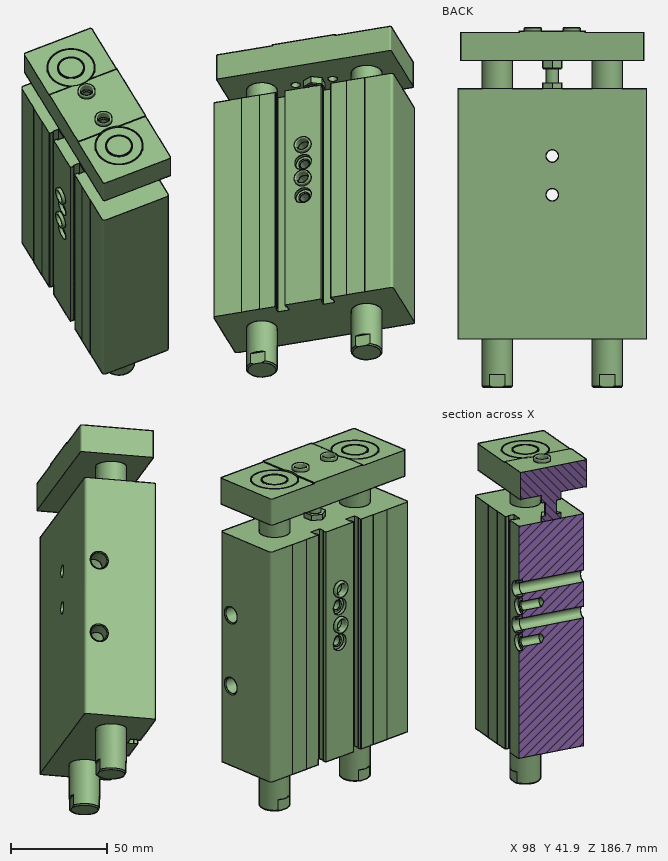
import cadquery as cq
import math


HOUSING_WIDTH = 98.0
HOUSING_DEPTH = 38.0
HOUSING_HEIGHT = 130.0
HOUSING_BOTTOM = 25.0
HOUSING_TOP = HOUSING_BOTTOM + HOUSING_HEIGHT
HOUSING_EDGE_RADIUS = 1.5
HOUSING_FRONT = -HOUSING_DEPTH / 2
HOUSING_LEFT = -HOUSING_WIDTH / 2

SLOT_INNER_X = 9.9
SLOT_WIDTH = 5.0
SLOT_DEPTH = 5.5
SLOT_CHAMFER = 0.4
SLOT_LIP_THICKNESS = 2.2
SLOT_UNDERCUT = 0.5
RIB_INNER_X = 23.7
RIB_WIDTH = 9.9
RIB_HEIGHT = 0.1

PORT_DIAMETER = 8.5
PORT_MOUTH_DIAMETER = 9.7
UPPER_PORT_DEPTH = 11.2
PORT_Y = 11.4
UPPER_PORT_Z = 110.0
LOWER_PORT_Z = 70.0
BEARING_WALL_DIAMETER = 27.6
DRILL_POINT_ANGLE = 118

SLEEVE_DIAMETER = 9.0
SLEEVE_BORE = 6.3
SLEEVE_LENGTH = 4.0
SLEEVE_PROTRUSION = 1.9
SLEEVE_SEAT_DEPTH = SLEEVE_LENGTH - SLEEVE_PROTRUSION
FRONT_HOLE_TOP_Z = 120.0
FRONT_HOLE_PITCH = 10.0
THREAD_BORE = 4.9
THREAD_MOUTH_DIAMETER = 6.0
FRONT_BLIND_DEPTH = 11.2
PLATE_SLEEVE_X = 10.0

PLATE_WIDTH = 95.2
PLATE_BACK = 21.0
PLATE_FRONT = -18.1
PLATE_BOTTOM = 169.5
OVERALL_HEIGHT = 186.7
PAD_TOP = OVERALL_HEIGHT - SLEEVE_PROTRUSION
PAD_HEIGHT = 0.5
PAD_WIDTH = 34.4
PLATE_TOP = PAD_TOP - PAD_HEIGHT
PLATE_EDGE_RADIUS = 1.0

PISTON_ROD_DIAMETER = 6.7
HEX_ACROSS_FLATS = 10.0
NUT_HEIGHT = 4.3
NUT_CHAMFER = 0.5
ROD_HEX_HEIGHT = 3.0

GUIDE_X = 28.5
GUIDE_DIAMETER = 16.0
GUIDE_CHAMFER = 0.7
FLAT_SPACING = 14.0
FLAT_HEIGHT = 6.5
HEAD_DIAMETER = 24.0
HEAD_SEAT_DIAMETER = 25.0
HEAD_THICKNESS = 5.0
TIP_DIAMETER = 14.0
TIP_CHAMFER = 0.5

SIDES = (-1, 1)
SLEEVE_HOLE_Z = [FRONT_HOLE_TOP_Z, FRONT_HOLE_TOP_Z - 2 * FRONT_HOLE_PITCH]
BLIND_HOLE_Z = [z - FRONT_HOLE_PITCH for z in SLEEVE_HOLE_Z]


def cylinder(diameter, length, start, direction):
    """A solid cylinder from a start point along a direction."""
    return cq.Workplane(
        cq.Solid.makeCylinder(diameter / 2, length, cq.Vector(*start), cq.Vector(*direction))
    )


def drilled_hole(diameter, depth, start, direction):
    """A blind hole: a cylinder that ends in a conical drill point."""
    point_length = diameter / 2 / math.tan(math.radians(DRILL_POINT_ANGLE / 2))
    tip_start = cq.Vector(*start) + cq.Vector(*direction) * depth
    tip = cq.Solid.makeCone(diameter / 2, 0, point_length, tip_start, cq.Vector(*direction))
    return cylinder(diameter, depth, start, direction).union(cq.Workplane(tip))


def cone_frustum(base_diameter, end_diameter, start, direction):
    """A 45 degree cone that narrows from its base along a direction."""
    length = (base_diameter - end_diameter) / 2
    return cq.Workplane(
        cq.Solid.makeCone(
            base_diameter / 2, end_diameter / 2, length, cq.Vector(*start), cq.Vector(*direction)
        )
    )


def hexagon(height, bottom):
    """A hexagonal prism with two flats facing -X and +X."""
    across_corners = HEX_ACROSS_FLATS / math.cos(math.pi / 6)
    prism = cq.Workplane("XY").polygon(6, across_corners).extrude(height)
    return prism.rotate((0, 0, 0), (0, 0, 1), 30).translate((0, 0, bottom))


def front_slot(side):
    """A T-slot along the front face whose outer lip is chamfered."""
    inner = side * SLOT_INNER_X
    outer = side * (SLOT_INNER_X + SLOT_WIDTH)
    undercut = side * SLOT_UNDERCUT
    lip_back = HOUSING_FRONT + SLOT_LIP_THICKNESS
    floor = HOUSING_FRONT + SLOT_DEPTH
    return (
        cq.Workplane("XY", origin=(0, 0, HOUSING_BOTTOM))
        .polyline(
            [
                (inner, HOUSING_FRONT),
                (inner, lip_back),
                (inner - undercut, lip_back),
                (inner - undercut, floor),
                (outer + undercut, floor),
                (outer + undercut, lip_back),
                (outer, lip_back),
                (outer, HOUSING_FRONT + SLOT_CHAMFER),
                (outer + side * SLOT_CHAMFER, HOUSING_FRONT),
            ]
        )
        .close()
        .extrude(HOUSING_HEIGHT)
    )


def front_rib(side):
    """A low flat rib along the front face."""
    center_x = side * (RIB_INNER_X + RIB_WIDTH / 2)
    return (
        cq.Workplane("XY", origin=(center_x, HOUSING_FRONT, HOUSING_BOTTOM))
        .rect(RIB_WIDTH, 2 * RIB_HEIGHT)
        .extrude(HOUSING_HEIGHT)
    )


def air_port(z, depth):
    """A drilled port with a countersunk mouth in the left side face."""
    mouth = (HOUSING_LEFT, PORT_Y, z)
    inward = (1, 0, 0)
    hole = drilled_hole(PORT_DIAMETER, depth, mouth, inward)
    return hole.union(cone_frustum(PORT_MOUTH_DIAMETER, PORT_DIAMETER, mouth, inward))


def make_housing():
    housing = (
        cq.Workplane("XY", origin=(0, 0, HOUSING_BOTTOM))
        .rect(HOUSING_WIDTH, HOUSING_DEPTH)
        .extrude(HOUSING_HEIGHT)
        .edges("|Z")
        .fillet(HOUSING_EDGE_RADIUS)
    )
    for side in SIDES:
        housing = housing.cut(front_slot(side)).union(front_rib(side))
        guide_start = (side * GUIDE_X, 0, HOUSING_BOTTOM)
        housing = housing.cut(cylinder(GUIDE_DIAMETER, HOUSING_HEIGHT, guide_start, (0, 0, 1)))

    lower_port_depth = HOUSING_WIDTH / 2 - GUIDE_X
    bearing_wall = cylinder(
        BEARING_WALL_DIAMETER, HOUSING_HEIGHT, (-GUIDE_X, 0, HOUSING_BOTTOM), (0, 0, 1)
    )
    housing = housing.cut(air_port(UPPER_PORT_Z, UPPER_PORT_DEPTH))
    housing = housing.cut(air_port(LOWER_PORT_Z, lower_port_depth).cut(bearing_wall))

    inward = (0, 1, 0)
    for z in SLEEVE_HOLE_Z:
        housing = housing.cut(cylinder(SLEEVE_BORE, HOUSING_DEPTH, (0, HOUSING_FRONT, z), inward))
    for z in BLIND_HOLE_Z:
        seat_floor = (0, HOUSING_FRONT + SLEEVE_SEAT_DEPTH, z)
        housing = housing.cut(drilled_hole(THREAD_BORE, FRONT_BLIND_DEPTH, seat_floor, inward))
        housing = housing.cut(cone_frustum(THREAD_MOUTH_DIAMETER, THREAD_BORE, seat_floor, inward))
    for z in SLEEVE_HOLE_Z + BLIND_HOLE_Z:
        housing = housing.cut(cylinder(SLEEVE_DIAMETER, SLEEVE_SEAT_DEPTH, (0, HOUSING_FRONT, z), inward))
    return housing


def make_piston_rod():
    """The rod between housing and plate, with a hexagon below and a lock nut above."""
    rod = cylinder(PISTON_ROD_DIAMETER, PLATE_BOTTOM - HOUSING_TOP, (0, 0, HOUSING_TOP), (0, 0, 1))
    nut = hexagon(NUT_HEIGHT, PLATE_BOTTOM - NUT_HEIGHT).faces("<Z").chamfer(NUT_CHAMFER)
    return rod.union(nut).union(hexagon(ROD_HEX_HEIGHT, HOUSING_TOP))


def make_yoke():
    """The plate with its raised middle pad, in one piece with the piston rod."""
    plate_depth = PLATE_BACK - PLATE_FRONT
    center_y = (PLATE_BACK + PLATE_FRONT) / 2
    plate = (
        cq.Workplane("XY", origin=(0, center_y, PLATE_BOTTOM))
        .rect(PLATE_WIDTH, plate_depth)
        .extrude(PLATE_TOP - PLATE_BOTTOM)
        .edges("|Z")
        .fillet(PLATE_EDGE_RADIUS)
    )
    pad = (
        cq.Workplane("XY", origin=(0, center_y, PLATE_TOP))
        .rect(PAD_WIDTH, plate_depth)
        .extrude(PAD_HEIGHT)
    )
    yoke = plate.union(pad).union(make_piston_rod())
    down = (0, 0, -1)
    through = PAD_TOP - PLATE_BOTTOM
    for side in SIDES:
        guide_top = (side * GUIDE_X, 0, PAD_TOP)
        yoke = yoke.cut(cylinder(GUIDE_DIAMETER, through, guide_top, down))
        yoke = yoke.cut(cylinder(HEAD_SEAT_DIAMETER, PAD_HEIGHT + HEAD_THICKNESS, guide_top, down))
        sleeve_top = (side * PLATE_SLEEVE_X, 0, PAD_TOP)
        yoke = yoke.cut(cylinder(THREAD_BORE, through, sleeve_top, down))
        yoke = yoke.cut(cylinder(SLEEVE_DIAMETER, SLEEVE_SEAT_DEPTH, sleeve_top, down))
        seat_floor = (side * PLATE_SLEEVE_X, 0, PAD_TOP - SLEEVE_SEAT_DEPTH)
        yoke = yoke.cut(cone_frustum(THREAD_MOUTH_DIAMETER, THREAD_BORE, seat_floor, down))
    return yoke


def make_guide_rod(side):
    """A rod with wrench flats at its lower end and a disc-shaped head in the plate."""
    x = side * GUIDE_X
    up = (0, 0, 1)
    rod = cylinder(GUIDE_DIAMETER, PLATE_TOP, (x, 0, 0), up).faces("<Z").chamfer(GUIDE_CHAMFER)
    for flat_side in SIDES:
        flat = (
            cq.Workplane("XY", origin=(x, flat_side * (FLAT_SPACING + GUIDE_DIAMETER) / 2, 0))
            .rect(GUIDE_DIAMETER, GUIDE_DIAMETER)
            .extrude(FLAT_HEIGHT)
        )
        rod = rod.cut(flat)
    rod = rod.union(cylinder(HEAD_DIAMETER, HEAD_THICKNESS, (x, 0, PLATE_TOP - HEAD_THICKNESS), up))

    groove_bottom = (x, 0, PLATE_TOP - TIP_CHAMFER)
    tip = cone_frustum(TIP_DIAMETER, TIP_DIAMETER - 2 * TIP_CHAMFER, groove_bottom, up)
    return rod.cut(cylinder(TIP_DIAMETER, TIP_CHAMFER, groove_bottom, up).cut(tip))


def make_sleeve(surface_point, outward):
    """A centring sleeve with a rounded rim that stands out of the surface around the given point."""
    seat = cq.Vector(*surface_point) - cq.Vector(*outward) * SLEEVE_SEAT_DEPTH
    inner = SLEEVE_BORE / 2
    outer = SLEEVE_DIAMETER / 2
    rim_radius = (outer - inner) / 2
    rim_start = SLEEVE_LENGTH - rim_radius
    profile = (
        cq.Workplane("XZ")
        .moveTo(inner, 0)
        .lineTo(outer, 0)
        .lineTo(outer, rim_start)
        .threePointArc((inner + rim_radius, SLEEVE_LENGTH), (inner, rim_start))
        .close()
    )
    sleeve = profile.revolve(360, (0, 0, 0), (0, 1, 0)).val()
    return cq.Workplane(sleeve.moved(cq.Plane(origin=seat, normal=outward).location))


housing = make_housing()
yoke = make_yoke()
guide_rods = [make_guide_rod(side) for side in SIDES]
plate_sleeves = [make_sleeve((side * PLATE_SLEEVE_X, 0, PAD_TOP), (0, 0, 1)) for side in SIDES]
front_sleeves = [make_sleeve((0, HOUSING_FRONT, z), (0, -1, 0)) for z in SLEEVE_HOLE_Z]

bodies = [housing, yoke, *guide_rods, *plate_sleeves, *front_sleeves]
result = cq.Compound.makeCompound([body.val() for body in bodies])